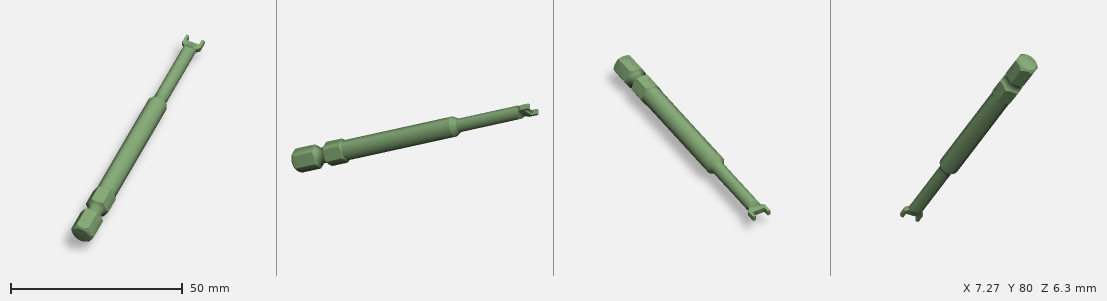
import cadquery as cq
import math

length = 80.0
base_y = -length / 2
tip_y = length / 2

hex_flats = 6.3
hex_corners = hex_flats / math.cos(math.radians(30))
hex_length = 17.0
end_face_radius = 2.7
end_chamfer_angle = 45.0

groove_from_base = 9.3
groove_arc_radius = 2.0
groove_floor_radius = 2.3

body_radius = 3.0
shank_radius = 2.0
shank_length = 25.0
shoulder_angle = 30.0

fork_thickness = 1.6
fork_width = 2 * body_radius
slot_width = 2 * shank_radius
slot_depth = 1.9
prong_length = 2.9
fork_length = 3.8
ramp_angle = 45.0


def revolve_about_y(points):
    """Revolve a closed (radius, y) outline about the Y axis."""
    return cq.Workplane("XY").polyline(points).close().revolve(360, (0, 0, 0), (0, 1, 0))


def make_drive():
    """Hexagon with corners on X, both ends turned to a cone."""
    hex_end_y = base_y + hex_length
    corner_radius = hex_corners / 2
    end_chamfer = (corner_radius - end_face_radius) / math.tan(math.radians(end_chamfer_angle))
    inner_chamfer = corner_radius - body_radius
    hexagon = (
        cq.Workplane("XZ", origin=(0, base_y, 0))
        .polygon(6, hex_corners)
        .extrude(-hex_length)
    )
    envelope = revolve_about_y([
        (0, base_y),
        (end_face_radius, base_y),
        (corner_radius, base_y + end_chamfer),
        (corner_radius, hex_end_y - inner_chamfer),
        (body_radius, hex_end_y),
        (0, hex_end_y),
    ])
    return hexagon.intersect(envelope)


def make_groove():
    """Ring of circular section that cuts the locking groove."""
    ring_radius = groove_floor_radius + groove_arc_radius
    return (
        cq.Workplane("XY")
        .center(ring_radius, base_y + groove_from_base)
        .circle(groove_arc_radius)
        .revolve(360, (-ring_radius, 0, 0), (-ring_radius, 1, 0))
    )


def make_body():
    """Round body that narrows over a conical shoulder to the shank."""
    shoulder_length = (body_radius - shank_radius) / math.tan(math.radians(shoulder_angle))
    shank_start_y = tip_y - shank_length
    body_start_y = base_y + hex_length
    shank_end_y = tip_y - slot_depth
    return revolve_about_y([
        (0, body_start_y),
        (body_radius, body_start_y),
        (body_radius, shank_start_y - shoulder_length),
        (shank_radius, shank_start_y),
        (shank_radius, shank_end_y),
        (0, shank_end_y),
    ])


def make_fork():
    """Two-pronged blade with round outer sides, tapering back to the shank."""
    half_width = fork_width / 2
    half_slot = slot_width / 2
    prong_y = tip_y - prong_length
    slot_y = tip_y - slot_depth
    neck_y = tip_y - fork_length
    blade = (
        cq.Workplane("XY")
        .polyline([
            (-half_width, tip_y),
            (-half_slot, tip_y),
            (-half_slot, slot_y),
            (half_slot, slot_y),
            (half_slot, tip_y),
            (half_width, tip_y),
            (half_width, prong_y),
            (shank_radius, neck_y),
            (-shank_radius, neck_y),
            (-half_width, prong_y),
        ])
        .close()
        .extrude(fork_thickness / 2, both=True)
    )
    round_bar = (
        cq.Workplane("XZ", origin=(0, neck_y, 0))
        .circle(body_radius)
        .extrude(-fork_length)
    )
    return blade.intersect(round_bar)


def make_flat_cut():
    """Material removed above the fork, ending in a ramp up to the shank."""
    half_thickness = fork_thickness / 2
    neck_y = tip_y - fork_length
    top_z = body_radius
    ramp_length = (top_z - half_thickness) / math.tan(math.radians(ramp_angle))
    return (
        cq.Workplane("YZ")
        .polyline([
            (tip_y, half_thickness),
            (neck_y, half_thickness),
            (neck_y - ramp_length, top_z),
            (tip_y, top_z),
        ])
        .close()
        .extrude(body_radius, both=True)
    )


flat_cut = make_flat_cut()
body = make_body().cut(flat_cut).cut(flat_cut.mirror("XY"))
drive = make_drive().cut(make_groove())
result = drive.union(body).union(make_fork())